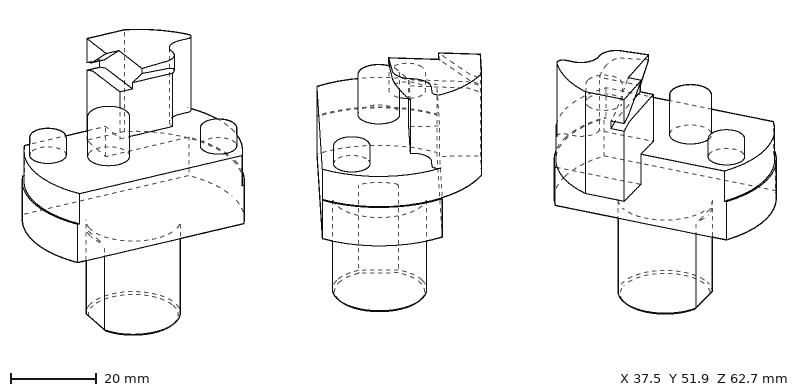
import cadquery as cq
import math

flange_bottom = 25.0
flange_split = 35.05
flange_top = 42.95
dowel_top = 48.0
center_pin_top = 53.75
head_left_top = 61.65
head_top = 62.7

shank_radius = 22.0 / 2
shank_chamfer = 0.5
shank_root_fillet = 0.45
flat_distance = 10.0
flat_top = 22.9
flat_fillet = 0.4

lower_flange_radius = 51.85 / 2
upper_flange_radius = 25.5
flange_half_width = 14.0

dowel_radius = 8.5 / 2
dowel_x = 7.0
dowel_y = 18.75
center_pin_radius = 9.8 / 2
center_pin_y = -6.45
pin_fillet = 0.5

head_left = -23.5
blade_face_y = 3.3
tip_x = -2.0
blade_back_x = -2.65
blade_slope_start_y = 9.4
wave_radius = 4.4
neck_x = -11.6
neck_round = 1.4

head_wall_x = -6.8
tip_land_bottom = 61.4
undercut_top = 56.9
head_notch_points = [
    (head_left, 53.35),
    (-20.5, 54.5),
    (head_wall_x, 55.25),
    (tip_x, 55.25),
    (tip_x, head_top),
    (-13.65, head_top),
    (-13.65, 62.15),
    (-21.05, 56.35),
    (head_left, 55.35),
]


def cylinder(radius, bottom, top, x=0, y=0):
    return cq.Workplane("XY", origin=(x, y, bottom)).circle(radius).extrude(top - bottom)


def flange_disc(radius, bottom, top):
    trim = cq.Workplane("XY", origin=(0, 0, bottom)).rect(2 * flange_half_width, 2 * radius)
    return cylinder(radius, bottom, top).intersect(trim.extrude(top - bottom))


def pin(radius, top, x, y):
    return cylinder(radius, flange_split, top, x, y).faces(">Z").edges().fillet(pin_fillet)


def shank():
    flat_cut = (
        cq.Workplane("XY", origin=(0, -flat_distance, 0))
        .rect(2 * shank_radius, 2 * shank_radius)
        .extrude(flat_top)
        .translate((0, -shank_radius, 0))
        .faces(">Z").edges(">Y").fillet(flat_fillet)
    )
    body = cylinder(shank_radius, 0, flange_bottom).cut(flat_cut)
    return body.faces("<Z").edges().chamfer(shank_chamfer)


def shank_root():
    """Concave ring blending the shank into the underside of the flange."""
    r = shank_root_fillet
    diagonal = r * (1 - math.sqrt(0.5))
    return (
        cq.Workplane("XZ")
        .moveTo(0, flange_bottom - r)
        .lineTo(shank_radius, flange_bottom - r)
        .threePointArc(
            (shank_radius + diagonal, flange_bottom - diagonal),
            (shank_radius + r, flange_bottom),
        )
        .lineTo(0, flange_bottom)
        .close()
        .revolve(360, (0, 0, 0), (0, 1, 0))
    )


def head_plan():
    """Head seen along Z: outer arc, rounded neck and wavy back, ending at the cutting tip."""
    radius = upper_flange_radius
    left_arc_y = math.sqrt(radius**2 - head_left**2)

    round_x = neck_x - neck_round
    round_y = math.sqrt((radius - neck_round) ** 2 - round_x**2)
    tangent_scale = radius / (radius - neck_round)
    round_start = (round_x * tangent_scale, round_y * tangent_scale)
    arc_angle = (math.atan2(left_arc_y, head_left) + math.atan2(round_y, round_x)) / 2
    arc_middle = (radius * math.cos(arc_angle), radius * math.sin(arc_angle))

    wave_x = blade_back_x - wave_radius
    wave_y = blade_slope_start_y + wave_radius
    return (
        cq.Workplane("XY", origin=(0, 0, flange_split))
        .moveTo(head_left, 0)
        .lineTo(head_left, left_arc_y)
        .threePointArc(arc_middle, round_start)
        .tangentArcPoint((neck_x, round_y), relative=False)
        .lineTo(neck_x, wave_y + wave_radius)
        .tangentArcPoint((wave_x, wave_y), relative=False)
        .tangentArcPoint((blade_back_x, blade_slope_start_y), relative=False)
        .lineTo(tip_x, blade_face_y)
        .lineTo(tip_x, 0)
        .close()
    )


def tool_head():
    body = head_plan().extrude(head_top - flange_split)
    side_profile = (
        cq.Workplane("XZ")
        .moveTo(head_left, flange_split)
        .lineTo(head_left, head_left_top)
        .lineTo(tip_x, head_top)
        .lineTo(tip_x, tip_land_bottom)
        .lineTo(head_wall_x, undercut_top)
        .lineTo(head_wall_x, flange_split)
        .close()
        .extrude(-upper_flange_radius)
    )
    notch = cq.Workplane("XZ").polyline(head_notch_points).close().extrude(-blade_face_y)
    return body.intersect(side_profile).cut(notch)


result = (
    shank()
    .union(shank_root())
    .union(flange_disc(lower_flange_radius, flange_bottom, flange_split))
    .union(flange_disc(upper_flange_radius, flange_split, flange_top))
    .union(tool_head())
    .union(pin(center_pin_radius, center_pin_top, 0, center_pin_y))
)
for side in (1, -1):
    result = result.union(pin(dowel_radius, dowel_top, side * dowel_x, side * dowel_y))